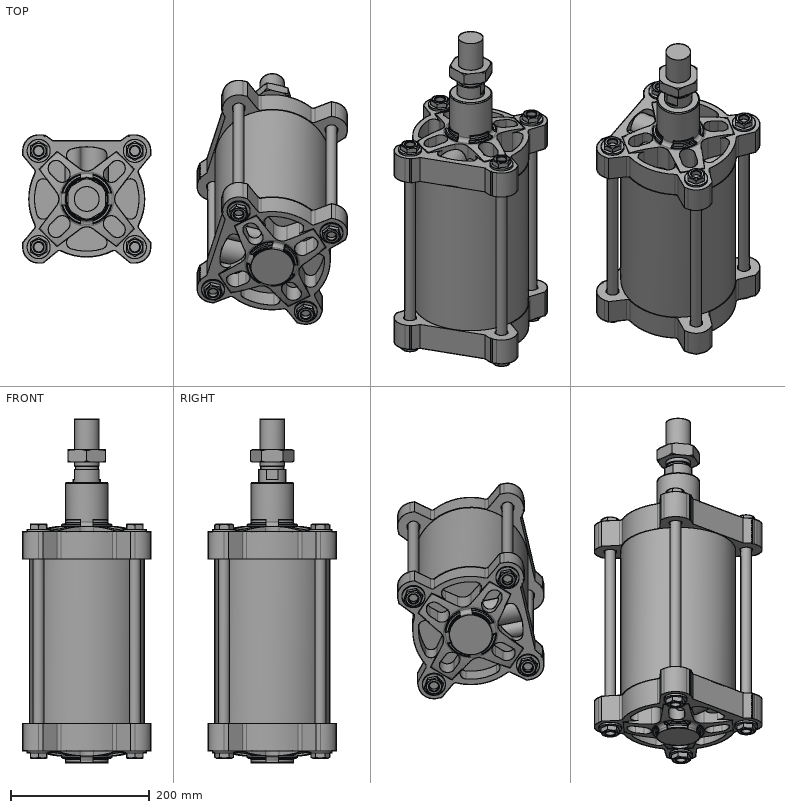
import cadquery as cq
import math


total_height = 498.0
spigot_height = 17.5
cap_height = 40.0
bottom_cap_inner = spigot_height + cap_height
top_cap_inner = 295.5
top_cap_outer = top_cap_inner + cap_height
collar_top = 406.5

tube_diameter = 167.0
tie_rod_diameter = 16.0
tie_rod_hole = 18.5
tie_rod_offset = 69.5

overall_width = 186.0
cap_radius = 84.0
lug_reach = overall_width / 2
lug_radius = lug_reach - tie_rod_offset
lug_flat_end = 63.0
lug_root_along = 36.0
lug_root_across = 70.0
lug_root_fillet = 5.0
port_flat = 84.5
port_flat_half_width = 49.5
port_flat_lug_end = 61.0

rib_side_angle = 53.0
pocket_apex = 36.5
pocket_radius = 75.5
pocket_tip_fillet = 16.5
pocket_corner_fillet = 9.5
pocket_depth = 32.5
rib_direction = 45.0
rib_end = 79.0
rib_mid_radius = 59.0
rib_mid_rise = 5.5
rib_end_rise = 1.0
slot_width = 23.0
slot_inner = 39.0
slot_outer = 74.0

collar_diameter = 62.0
collar_radius = collar_diameter / 2
shelf_radius = 39.5
shelf_rise = 7.5
notch_fillet = 6.0
pad_radius = 37.5
pad_rise = 11.0
pad_chamfer = 1.5
crown_radius = 32.0
crown_flare = 1.0
crown_chamfer = 1.0
notch_width = 18.0
collar_chamfer = 1.5

large_port_diameter = 40.0
small_port_diameter = 24.0
port_half_span = (large_port_diameter + small_port_diameter) / 2
port_drop = 21.5

washer_diameter = 33.5
washer_height = 3.0
tie_nut_flats = 24.0
tie_nut_height = 8.0
tie_nut_chamfer_diameter = 22.0
tie_nut_recess_diameter = 14.0
tie_nut_recess_chamfer = 1.0

rod_diameter = 40.0
thread_diameter = 36.0
neck_diameter = 33.5
shoulder_height = 425.5
neck_height = 4.0
thread_chamfer = 1.0
wrench_flats = 36.0
wrench_flat_height = 15.0
nut_flats = 55.0
nut_height = 18.0
nut_bottom = 435.8
nut_chamfer_diameter = 58.0
chamfer_angle = 30.0

quarter_turns = [0, 90, 180, 270]
corners = [(x, y) for x in (-tie_rod_offset, tie_rod_offset) for y in (-tie_rod_offset, tie_rod_offset)]


def cylinder(diameter, height, base=0.0):
    return cq.Workplane("XY").workplane(offset=base).circle(diameter / 2).extrude(height)


def around(body, start=0.0):
    """Four copies of a body, a quarter turn apart about Z, the first turned by start."""
    copies = cq.Workplane("XY")
    for turn in quarter_turns:
        copies = copies.add(body.rotate((0, 0, 0), (0, 0, 1), start + turn))
    return copies.combine()


def hexagon(flats, height, chamfer_diameter, chamfer_bottom):
    """Hexagonal prism with corners on +-Y, its top (and bottom) corners chamfered by a cone."""
    corner_radius = flats / math.sqrt(3)
    rim = chamfer_diameter / 2
    drop = (corner_radius - rim) * math.tan(math.radians(chamfer_angle))
    prism = cq.Workplane("XY").polygon(6, 2 * corner_radius).extrude(height)
    prism = prism.rotate((0, 0, 0), (0, 0, 1), 90)
    turned = cq.Workplane("XZ").moveTo(0, 0)
    if chamfer_bottom:
        turned = turned.lineTo(rim, 0).lineTo(corner_radius, drop)
    else:
        turned = turned.lineTo(corner_radius, 0)
    turned = turned.lineTo(corner_radius, height - drop).lineTo(rim, height).lineTo(0, height).close()
    return prism.intersect(turned.revolve())



def lug():
    """Ear around the tie rod at (-X, -Y), reaching inwards to the axis."""
    diagonal = lug_radius * math.sqrt(0.5)
    return (
        cq.Workplane("XY")
        .moveTo(0, 0)
        .lineTo(-lug_root_across, -lug_root_along)
        .lineTo(-lug_reach, -lug_flat_end)
        .lineTo(-lug_reach, -tie_rod_offset)
        .threePointArc(
            (-tie_rod_offset - diagonal, -tie_rod_offset - diagonal), (-tie_rod_offset, -lug_reach)
        )
        .lineTo(-lug_flat_end, -lug_reach)
        .lineTo(-lug_root_along, -lug_root_across)
        .close()
        .extrude(cap_height)
    )


def is_lug_root(edge):
    """True where a lug side meets the round cap; the circle's own seam lies on the X axis."""
    middle = edge.Center()
    on_circle = math.isclose(math.hypot(middle.x, middle.y), cap_radius, abs_tol=0.05)
    return on_circle and abs(middle.y) > lug_root_fillet


def cap_plate():
    plate = cylinder(2 * cap_radius, cap_height).union(around(lug()))
    plate = plate.edges("|Z").filter(is_lug_root).fillet(lug_root_fillet)
    flat_side = (
        cq.Workplane("XY")
        .moveTo(-port_flat_lug_end, 0)
        .lineTo(-port_flat_lug_end, lug_reach)
        .lineTo(-port_flat_half_width, port_flat)
        .lineTo(port_flat_half_width, port_flat)
        .lineTo(port_flat_lug_end, lug_reach)
        .lineTo(port_flat_lug_end, 0)
        .close()
        .extrude(cap_height)
    )
    return plate.union(flat_side)


def pocket_wedge(height):
    """Triangle on +X between two ribs, its tip rounded, reaching past the cap rim."""
    reach = 2 * overall_width
    half = (reach - pocket_apex) * math.tan(math.radians(rib_side_angle))
    return (
        cq.Workplane("XY")
        .polyline([(pocket_apex, 0), (reach, -half), (reach, half)])
        .close()
        .extrude(height)
        .edges("|Z and <X")
        .fillet(pocket_tip_fillet)
    )


def pocket():
    disc = cylinder(2 * pocket_radius, pocket_depth)
    shape = pocket_wedge(pocket_depth).intersect(disc)
    corner_edges = shape.edges("|Z").edges(">Y or <Y")
    return shape.newObject(corner_edges.vals()).fillet(pocket_corner_fillet)


def ribs():
    """Domed cross on the outer face, between the pockets."""
    dome = (
        cq.Workplane("XZ")
        .moveTo(0, 0)
        .lineTo(0, shelf_rise)
        .lineTo(shelf_radius, shelf_rise)
        .threePointArc((rib_mid_radius, rib_mid_rise), (rib_end, rib_end_rise))
        .lineTo(overall_width, rib_end_rise)
        .lineTo(overall_width, 0)
        .close()
        .revolve()
    )
    square = cq.Workplane("XY").rect(2 * rib_end, 2 * rib_end).extrude(pad_rise)
    square = square.rotate((0, 0, 0), (0, 0, 1), rib_direction)
    return dome.intersect(square).cut(around(pocket_wedge(pad_rise)))


def hub():
    """Filleted foot of the spigot with four crown segments on pads, notched on the axes."""
    core = (
        cq.Workplane("XZ")
        .moveTo(0, 0)
        .lineTo(collar_radius + notch_fillet, 0)
        .lineTo(collar_radius + notch_fillet, shelf_rise)
        .radiusArc((collar_radius, shelf_rise + notch_fillet), notch_fillet)
        .lineTo(0, shelf_rise + notch_fillet)
        .close()
        .revolve()
    )
    pads = cylinder(2 * pad_radius, pad_rise).faces(">Z").chamfer(pad_chamfer)
    crown = (
        cq.Workplane("XZ")
        .moveTo(0, 0)
        .lineTo(crown_radius + crown_flare, 0)
        .lineTo(crown_radius + crown_flare, pad_rise)
        .lineTo(crown_radius, pad_rise + 2 * crown_flare)
        .lineTo(crown_radius, spigot_height - crown_chamfer)
        .lineTo(crown_radius - crown_chamfer, spigot_height)
        .lineTo(0, spigot_height)
        .close()
        .revolve()
    )
    bar = cq.Workplane("XY").rect(overall_width, notch_width).extrude(spigot_height)
    cross = bar.union(bar.rotate((0, 0, 0), (0, 0, 1), 90))
    return core.union(pads.union(crown).cut(cross))


def rib_slot():
    """Rounded slot cutter on +X, from the pocket floor to above the rib."""
    length = slot_outer - slot_inner
    return (
        cq.Workplane("XY")
        .center((slot_inner + slot_outer) / 2, 0)
        .slot2D(length, slot_width)
        .extrude(pocket_depth + spigot_height)
    )


def port_tube(diameter, x):
    """Tube from the hub across the +Y pocket, ending inside the wall of the flat face."""
    return (
        cq.Workplane("XZ", origin=(x, 0, cap_height - port_drop))
        .circle(diameter / 2)
        .extrude(-(pocket_radius + port_flat) / 2)
    )


def tie_rod_nut():
    """Washer and hexagonal nut with a round recess down to the washer."""
    nut = hexagon(tie_nut_flats, tie_nut_height, tie_nut_chamfer_diameter, False)
    recess_radius = tie_nut_recess_diameter / 2
    mouth_radius = recess_radius + tie_nut_recess_chamfer
    recess = (
        cq.Workplane("XZ")
        .moveTo(0, 0)
        .lineTo(recess_radius, 0)
        .lineTo(recess_radius, tie_nut_height - tie_nut_recess_chamfer)
        .lineTo(mouth_radius, tie_nut_height)
        .lineTo(0, tie_nut_height)
        .close()
        .revolve()
    )
    washer = cylinder(washer_diameter, washer_height)
    return washer.union(nut.cut(recess).translate((0, 0, washer_height)))


def cap():
    floor = cap_height - pocket_depth
    body = cap_plate().union(ribs().translate((0, 0, cap_height)))
    body = body.cut(around(pocket()).translate((0, 0, floor)))
    body = body.cut(around(rib_slot(), rib_direction).translate((0, 0, floor)))
    body = body.union(port_tube(large_port_diameter, port_half_span - large_port_diameter / 2))
    body = body.union(port_tube(small_port_diameter, small_port_diameter / 2 - port_half_span))
    body = body.union(hub().translate((0, 0, cap_height)))
    body = body.cut(cq.Workplane("XY").pushPoints(corners).circle(tie_rod_hole / 2).extrude(cap_height))
    for x, y in corners:
        body = body.union(tie_rod_nut().translate((x, y, cap_height)))
    return body



def make_rod():
    rod = cylinder(rod_diameter, shoulder_height - top_cap_outer, top_cap_outer)
    flats = (
        cq.Workplane("XY")
        .workplane(offset=shoulder_height - wrench_flat_height)
        .rect(rod_diameter, rod_diameter)
        .rect(wrench_flats, rod_diameter)
        .extrude(wrench_flat_height)
    )
    rod = rod.cut(flats)
    rod = rod.union(cylinder(neck_diameter, neck_height, shoulder_height))
    thread_start = shoulder_height + neck_height
    thread = cylinder(thread_diameter, total_height - thread_start, thread_start)
    return rod.union(thread.faces("<Z").edges().chamfer(thread_chamfer))



def make_rod_nut():
    nut = hexagon(nut_flats, nut_height, nut_chamfer_diameter, True)
    return nut.cut(cylinder(thread_diameter, nut_height)).translate((0, 0, nut_bottom))



def make_housing():
    end_cap = cap()
    body = cylinder(tube_diameter, top_cap_inner - bottom_cap_inner, bottom_cap_inner)
    body = body.union(end_cap.translate((0, 0, top_cap_inner)))
    body = body.union(end_cap.mirror("XY").translate((0, 0, bottom_cap_inner)))
    rod_start = bottom_cap_inner - cap_height
    for x, y in corners:
        tie_rod = cylinder(tie_rod_diameter, top_cap_outer - rod_start, rod_start)
        body = body.union(tie_rod.translate((x, y, 0)))
    collar = cylinder(collar_diameter, collar_top - top_cap_outer, top_cap_outer)
    body = body.union(cylinder(collar_diameter, spigot_height))
    body = body.union(collar.faces(">Z").edges().chamfer(collar_chamfer))
    return body.cut(cylinder(rod_diameter, collar_top - top_cap_outer, top_cap_outer))


housing = make_housing()
piston_rod = make_rod()
rod_nut = make_rod_nut()

result = cq.Compound.makeCompound([housing.val(), piston_rod.val(), rod_nut.val()])